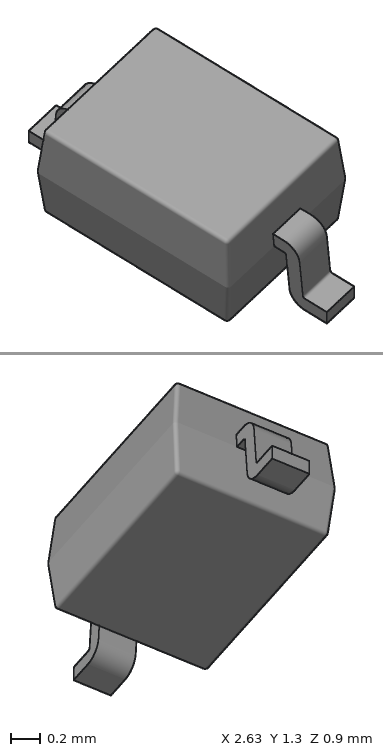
import cadquery as cq
import math

body_length = 1.70
body_width = 1.30
body_bottom = 0.05
body_top = 0.90
draft_angle = 5.0
body_edge_radius = 0.03
half_height = (body_top - body_bottom) / 2
parting_height = body_bottom + half_height

overall_length = 2.63
lead_width = 0.30
lead_thickness = 0.12
lead_embed = 0.10
lean_angle = 5.0
inner_bend_radius = 0.02
outer_bend_radius = inner_bend_radius + lead_thickness
foot_length = 0.21


def make_half_body():
    """Upper half of the body, rounded on every edge except the parting outline."""
    half = (
        cq.Workplane("XY")
        .workplane(offset=parting_height)
        .rect(body_length, body_width)
        .extrude(half_height, taper=draft_angle)
    )
    return half.edges("not <Z").fillet(body_edge_radius)


def make_body():
    upper = make_half_body()
    lower = upper.mirror("XY", (0, 0, parting_height))
    return upper.union(lower)


def make_lead():
    """Lead on the +X side, from inside the body out to the tip of the foot."""
    lean = math.tan(math.radians(lean_angle))
    leg_run = lead_thickness / math.cos(math.radians(lean_angle))
    shoulder_bottom = parting_height
    shoulder_top = shoulder_bottom + lead_thickness
    root_x = body_length / 2 - lead_embed
    tip_x = overall_length / 2
    heel_x = tip_x - foot_length

    def leg_outside(z):
        return heel_x - (z - lead_thickness) * lean

    def leg_inside(z):
        return leg_outside(z) - leg_run

    shoulder_outer = (leg_outside(shoulder_top), shoulder_top)
    shoulder_inner = (leg_inside(shoulder_bottom), shoulder_bottom)
    foot_inner = (heel_x, lead_thickness)
    foot_outer = (leg_inside(0), 0)

    lead = (
        cq.Workplane("XZ")
        .polyline([
            (root_x, shoulder_top),
            shoulder_outer,
            foot_inner,
            (tip_x, lead_thickness),
            (tip_x, 0),
            foot_outer,
            shoulder_inner,
            (root_x, shoulder_bottom),
        ])
        .close()
        .extrude(lead_width / 2, both=True)
    )
    bends = [
        (shoulder_outer, outer_bend_radius),
        (shoulder_inner, inner_bend_radius),
        (foot_inner, inner_bend_radius),
        (foot_outer, outer_bend_radius),
    ]
    for (x, z), radius in bends:
        corner = cq.NearestToPointSelector((x, 0, z))
        lead = lead.edges("|Y").edges(corner).fillet(radius)
    return lead


right_lead = make_lead()
left_lead = right_lead.mirror("YZ")
result = make_body().union(right_lead).union(left_lead)